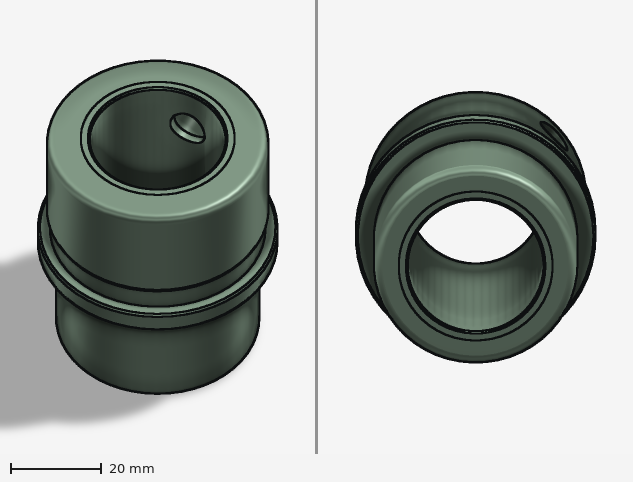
import cadquery as cq

height = 60.0
shank_top = 24.0
flange_bottom = 26.0
flange_top = 31.0
head_taper_bottom = 36.0
head_taper_top = 37.2

shank_diameter = 45.0
flange_diameter = 53.0
neck_diameter = 47.7
head_diameter = 49.0
liner_diameter = 34.0
bore_diameter = 30.0

undercut_lip = 0.4
undercut_depth = 0.85

end_round = 2.0
flange_chamfer = 0.5
bore_chamfer = 0.4

port_diameter = 8.5
port_depth_below_top = 11.05


def make_port():
    """Cylinder running from the axis out through the +Y wall."""
    return (
        cq.Workplane("XZ")
        .center(0, height - port_depth_below_top)
        .circle(port_diameter / 2)
        .extrude(-flange_diameter)
    )


def make_housing():
    """Flanged outer sleeve, turned about Z and pierced by the port."""
    seat_radius = liner_diameter / 2
    shank_radius = shank_diameter / 2
    flange_radius = flange_diameter / 2
    neck_radius = neck_diameter / 2
    head_radius = head_diameter / 2

    lip_radius = shank_radius - undercut_lip
    undercut_radius = shank_radius - undercut_depth

    sleeve = (
        cq.Workplane("XZ")
        .moveTo(seat_radius, 0)
        .lineTo(shank_radius, 0)
        .lineTo(shank_radius, shank_top)
        .lineTo(lip_radius, shank_top)
        .lineTo(undercut_radius, flange_bottom)
        .lineTo(flange_radius - flange_chamfer, flange_bottom)
        .lineTo(flange_radius, flange_bottom + flange_chamfer)
        .lineTo(flange_radius, flange_top - flange_chamfer)
        .lineTo(flange_radius - flange_chamfer, flange_top)
        .lineTo(neck_radius, flange_top)
        .lineTo(neck_radius, head_taper_bottom)
        .lineTo(head_radius, head_taper_top)
        .lineTo(head_radius, height)
        .lineTo(seat_radius, height)
        .close()
        .revolve(360, (0, 0, 0), (0, 1, 0))
    )
    largest_edge = cq.selectors.RadiusNthSelector(-1)
    sleeve = sleeve.faces(">Z").edges(largest_edge).fillet(end_round)
    sleeve = sleeve.faces("<Z").edges(largest_edge).fillet(end_round)
    return sleeve.cut(make_port())


def make_liner():
    """Plain bearing tube seated in the housing, chamfered at both bore ends."""
    tube = cq.Workplane("XY").circle(liner_diameter / 2).circle(bore_diameter / 2).extrude(height)
    bore_edge = cq.selectors.RadiusNthSelector(0)
    tube = tube.faces("|Z").edges(bore_edge).chamfer(bore_chamfer)
    return tube.cut(make_port())


housing = make_housing()
liner = make_liner()

result = cq.Compound.makeCompound([housing.val(), liner.val()])